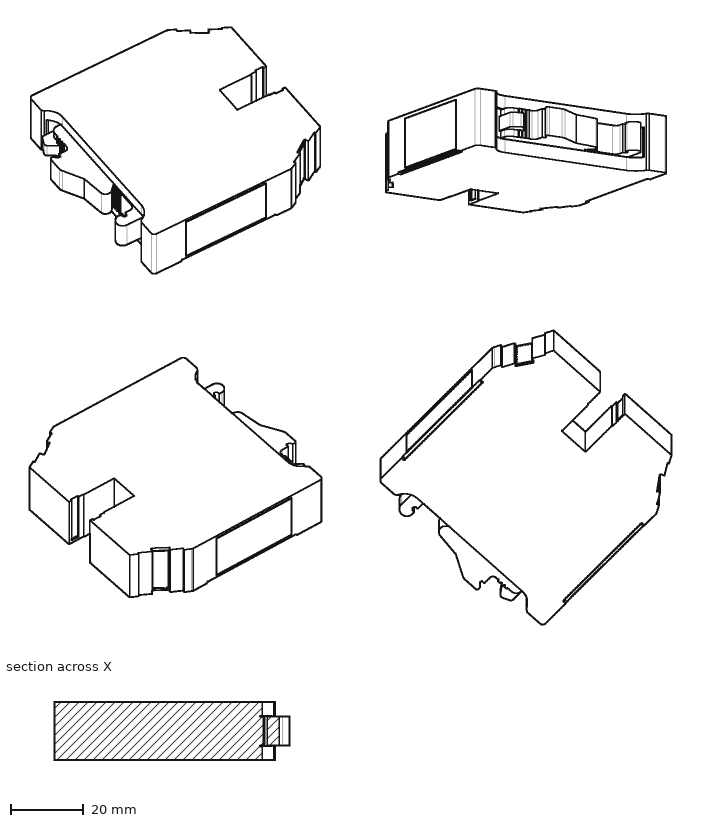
import cadquery as cq
import math

WIDTH = 62.0
TOTAL_HEIGHT = 66.5
THICKNESS = 16.0
FOOT_DROP = 5.85
HOUSING_TOP = TOTAL_HEIGHT - FOOT_DROP
HALF_WIDTH = WIDTH / 2
MID_Z = THICKNESS / 2
OVERLAP = 0.3

SHOULDER = [
    (31.0, 15.3),
    (30.8, 14.8),
    (29.85, 13.05),
    (29.2, 13.25),
    (27.5, 10.1),
    (27.0, 10.2),
    (26.7, 10.6),
    (23.95, 6.6),
    (23.95, 6.1),
    (25.0, 5.7),
    (23.1, 2.45),
    (23.5, 2.25),
    (22.3, 0.0),
]
FLANK_BOTTOM, FLANK_TOP = SHOULDER[6:8]
PAD_TOP_DEPTH = FLANK_TOP[1]
PAD_BOTTOM_DEPTH = 10.2
PAD_PROUD = 0.3
PAD_MARGIN_Z = 1.0

SLOT_DEPTH = 15.55
SLOT_HALF_WIDTH = 4.45
SLOT_MOUTH_HALF_WIDTH = 4.65
SLOT_MOUTH_DEPTH = 5.05
GROOVE_TOP_DEPTH = 0.9
GROOVE_BOTTOM_DEPTH = 3.4
GROOVE_CUT = 0.45
GROOVE_FLOOR_Z = 1.0

ARCH_HEIGHT = 3.5
ARCH_FLAT_HALF = 19.7
ARCH_RADIUS = 5.0
ARCH_FOOT_HALF = 24.3
FEET_INNER_HALF = 25.0
CORNER_RADIUS = 1.05
CHANNEL_HALF = 24.0
CHANNEL_RISE = 0.65
CHANNEL_THICKNESS = 8.4

PANEL_TOP_DEPTH = 23.55
PANEL_BOTTOM_DEPTH = 49.75
PANEL_MARGIN_Z = 1.05
PANEL_CUT = 0.2
NOTCH_TOP_DEPTH = 20.0
NOTCH_BOTTOM_DEPTH = 51.55
NOTCH_HEIGHT = 0.45
NOTCH_REACH = 1.0

FOOT_THICKNESS = 8.05
FOOT_ROOF = ARCH_HEIGHT + CHANNEL_RISE + OVERLAP
FOOT_HALF = 20.7
SHELF_END_RADIUS = 1.9

JAW_X = -11.7
JAW_FILLET = 1.2
JAW_NOTCH_TOP = -3.0
JAW_NOTCH_ARC_TOP = -3.3
JAW_NOTCH_BOTTOM = -4.5
JAW_NOTCH_CUT = 1.0
JAW_NOTCH_RADIUS = 1.2
JAW_CORNER_RADIUS = 0.45
JAW_BASE_END = (-7.1, -FOOT_DROP)

TONGUE_START = (-5.9, -5.5)
TONGUE_START_RADIUS = 2.3
TONGUE_BEND = (-0.1, -2.2)
TONGUE_TIP_START = (6.8, -1.2)
TONGUE_TIP_MID = (8.1, 0.2)
TONGUE_TIP_END = (7.25, 2.05)
TONGUE_ROOT_X = 6.1

HOOK_END_RADIUS = 2.05
HOOK_X = FOOT_HALF - 2 * HOOK_END_RADIUS
HOOK_DROP = 3.9
HOOK_FILLET = 1.45
HOOK_NOTCH_TOP = 0.25
HOOK_NOTCH_ARC_START = 17.4
HOOK_NOTCH_MID = (17.7, -0.4)
HOOK_NOTCH_ARC_END = (17.1, -1.05)

LATCH_THICKNESS = 4.05
LATCH_LEFT = -21.3
LATCH_RIGHT = -15.4
LATCH_CORNER_TOP = -1.45
LATCH_CORNER_END = (-20.8, -2.3)
LATCH_CORNER_RADIUS = 1.0
LATCH_TIP_START = (-18.75, -3.2)
LATCH_TIP_END = (-17.7, -2.9)
LATCH_TIP_RADIUS = 0.9

TOOTH_PITCH = 1.2
LEFT_TOOTH_WIDTH = 0.8
RIGHT_TOOTH_WIDTH = 0.45
TOOTH_DROP = 0.4
TOOTH_COUNT = 3
LEFT_SHELF = 0.4
RIGHT_SHELF = 3.25
LEFT_TOOTH_X = -16.8
RIGHT_TOOTH_X = 7.3


def mirrored_pair(solid):
    """The solid together with its mirror image across X = 0."""
    return solid.union(solid.mirror("YZ"))


def block(x_min, x_max, y_min, y_max, z_min, z_max):
    return cq.Workplane("XY").box(
        x_max - x_min, y_max - y_min, z_max - z_min, centered=False
    ).translate((x_min, y_min, z_min))


def plate(outline, thickness):
    """Extrude a closed outline centred in the thickness of the block."""
    return outline.close().extrude(thickness).translate((0, 0, MID_Z - thickness / 2))


def arch_opening(half_width):
    """Arch cross-section: flat roof running into an arc at either end."""
    centre_y = ARCH_HEIGHT - ARCH_RADIUS

    def arc_y(x):
        return centre_y + math.sqrt(ARCH_RADIUS**2 - (x - ARCH_FLAT_HALF) ** 2)

    arc_mid_x = ARCH_FLAT_HALF + ARCH_RADIUS / 2
    return (
        cq.Workplane("XY")
        .moveTo(-half_width, arc_y(half_width))
        .threePointArc((-arc_mid_x, arc_y(arc_mid_x)), (-ARCH_FLAT_HALF, ARCH_HEIGHT))
        .lineTo(ARCH_FLAT_HALF, ARCH_HEIGHT)
        .threePointArc((arc_mid_x, arc_y(arc_mid_x)), (half_width, arc_y(half_width)))
    )


def housing_body():
    right = [(x, HOUSING_TOP - depth) for x, depth in SHOULDER]
    left = [(-x, y) for x, y in reversed(right)]
    outline = [(HALF_WIDTH, 0)] + right + left + [(-HALF_WIDTH, 0)]
    body = cq.Workplane("XY").polyline(outline).close().extrude(THICKNESS)
    body = body.edges("|Z and <Y").fillet(CORNER_RADIUS)

    arch = arch_opening(ARCH_FOOT_HALF).lineTo(FEET_INNER_HALF, 0).lineTo(-FEET_INNER_HALF, 0)
    body = body.cut(plate(arch, THICKNESS))

    channel = arch_opening(CHANNEL_HALF).lineTo(CHANNEL_HALF, -CHANNEL_RISE)
    channel = channel.lineTo(-CHANNEL_HALF, -CHANNEL_RISE)
    return body.cut(plate(channel, CHANNEL_THICKNESS).translate((0, CHANNEL_RISE, 0)))


def top_slot():
    slot = block(-SLOT_HALF_WIDTH, SLOT_HALF_WIDTH, HOUSING_TOP - SLOT_DEPTH, HOUSING_TOP, 0, THICKNESS)
    mouth = block(
        -SLOT_MOUTH_HALF_WIDTH, SLOT_MOUTH_HALF_WIDTH,
        HOUSING_TOP - SLOT_MOUTH_DEPTH, HOUSING_TOP, 0, THICKNESS,
    )
    groove_half = SLOT_MOUTH_HALF_WIDTH + GROOVE_CUT
    grooves = block(
        -groove_half, groove_half,
        HOUSING_TOP - GROOVE_BOTTOM_DEPTH, HOUSING_TOP - GROOVE_TOP_DEPTH,
        GROOVE_FLOOR_Z, THICKNESS,
    )
    return slot.union(mouth).union(grooves)


def shoulder_pads():
    """Thin pads lying on the sloping flank between the shoulder notches."""
    low_x, low_depth = FLANK_BOTTOM
    high_x, high_depth = FLANK_TOP
    slope = (low_x - high_x) / (low_depth - high_depth)

    def flank_point(depth, offset):
        return (high_x + slope * (depth - high_depth) + offset, HOUSING_TOP - depth)

    outline = cq.Workplane("XY").polyline([
        flank_point(PAD_TOP_DEPTH, -OVERLAP),
        flank_point(PAD_TOP_DEPTH, PAD_PROUD),
        flank_point(PAD_BOTTOM_DEPTH, PAD_PROUD),
        flank_point(PAD_BOTTOM_DEPTH, -OVERLAP),
    ])
    return mirrored_pair(plate(outline, THICKNESS - 2 * PAD_MARGIN_Z))


def marker_panels():
    return mirrored_pair(block(
        HALF_WIDTH - PANEL_CUT, HALF_WIDTH,
        HOUSING_TOP - PANEL_BOTTOM_DEPTH, HOUSING_TOP - PANEL_TOP_DEPTH,
        PANEL_MARGIN_Z, THICKNESS - PANEL_MARGIN_Z,
    ))


def finger_notches():
    """Shallow notches with sloping ends along the bottom edges of the narrow sides."""
    y_min = HOUSING_TOP - NOTCH_BOTTOM_DEPTH
    y_max = HOUSING_TOP - NOTCH_TOP_DEPTH
    notch = (
        cq.Workplane("YZ", origin=(HALF_WIDTH - NOTCH_REACH, 0, 0))
        .polyline([
            (y_min, 0),
            (y_min + NOTCH_HEIGHT, NOTCH_HEIGHT),
            (y_max - NOTCH_HEIGHT, NOTCH_HEIGHT),
            (y_max, 0),
        ])
        .close()
        .extrude(NOTCH_REACH)
    )
    return mirrored_pair(notch)


def teeth(first_x, shelf_y, width):
    """Row of small teeth hanging below a shelf of the rail foot."""
    row = cq.Workplane("XY")
    for index in range(TOOTH_COUNT):
        centre_x = first_x + index * TOOTH_PITCH
        row = row.union(block(
            centre_x - width / 2, centre_x + width / 2,
            shelf_y - TOOTH_DROP, shelf_y + OVERLAP,
            MID_Z - FOOT_THICKNESS / 2, MID_Z + FOOT_THICKNESS / 2,
        ))
    return row


def rail_foot():
    outline = (
        cq.Workplane("XY")
        .moveTo(-FOOT_HALF, FOOT_ROOF)
        .lineTo(-FOOT_HALF, LEFT_SHELF + SHELF_END_RADIUS)
        .radiusArc((SHELF_END_RADIUS - FOOT_HALF, LEFT_SHELF), -SHELF_END_RADIUS)
        .lineTo(JAW_X - JAW_FILLET, LEFT_SHELF)
        .radiusArc((JAW_X, LEFT_SHELF - JAW_FILLET), JAW_FILLET)
        .lineTo(JAW_X, JAW_NOTCH_TOP)
        .lineTo(JAW_X + JAW_NOTCH_CUT, JAW_NOTCH_TOP)
        .lineTo(JAW_X + JAW_NOTCH_CUT, JAW_NOTCH_ARC_TOP)
        .radiusArc((JAW_X, JAW_NOTCH_BOTTOM), JAW_NOTCH_RADIUS)
        .lineTo(JAW_X, JAW_CORNER_RADIUS - FOOT_DROP)
        .radiusArc((JAW_X + JAW_CORNER_RADIUS, -FOOT_DROP), -JAW_CORNER_RADIUS)
        .lineTo(*JAW_BASE_END)
        .radiusArc(TONGUE_START, -TONGUE_START_RADIUS)
        .lineTo(*TONGUE_BEND)
        .lineTo(*TONGUE_TIP_START)
        .threePointArc(TONGUE_TIP_MID, TONGUE_TIP_END)
        .lineTo(TONGUE_ROOT_X, RIGHT_SHELF)
        .lineTo(HOOK_X - HOOK_FILLET, RIGHT_SHELF)
        .radiusArc((HOOK_X, RIGHT_SHELF - HOOK_FILLET), HOOK_FILLET)
        .lineTo(HOOK_X, HOOK_NOTCH_TOP)
        .lineTo(HOOK_NOTCH_ARC_START, HOOK_NOTCH_TOP)
        .threePointArc(HOOK_NOTCH_MID, HOOK_NOTCH_ARC_END)
        .lineTo(HOOK_X, HOOK_NOTCH_ARC_END[1])
        .lineTo(HOOK_X, HOOK_END_RADIUS - HOOK_DROP)
        .radiusArc((HOOK_X + HOOK_END_RADIUS, -HOOK_DROP), -HOOK_END_RADIUS)
        .radiusArc((FOOT_HALF, HOOK_END_RADIUS - HOOK_DROP), -HOOK_END_RADIUS)
        .lineTo(FOOT_HALF, FOOT_ROOF)
    )
    foot = plate(outline, FOOT_THICKNESS)
    foot = foot.union(teeth(LEFT_TOOTH_X, LEFT_SHELF, LEFT_TOOTH_WIDTH))
    return foot.union(teeth(RIGHT_TOOTH_X, RIGHT_SHELF, RIGHT_TOOTH_WIDTH))


def release_latch():
    """Narrow hook in the middle of the foot, at its left end."""
    latch_top = FOOT_ROOF - OVERLAP
    outline = (
        cq.Workplane("XY")
        .moveTo(LATCH_LEFT, latch_top)
        .lineTo(LATCH_LEFT, LATCH_CORNER_TOP)
        .radiusArc(LATCH_CORNER_END, -LATCH_CORNER_RADIUS)
        .lineTo(*LATCH_TIP_START)
        .radiusArc(LATCH_TIP_END, -LATCH_TIP_RADIUS)
        .lineTo(LATCH_RIGHT, LEFT_SHELF)
        .lineTo(LATCH_RIGHT, latch_top)
    )
    return plate(outline, LATCH_THICKNESS)


housing = housing_body().cut(top_slot()).union(shoulder_pads())
housing = housing.cut(marker_panels()).cut(finger_notches())
result = housing.union(rail_foot()).union(release_latch())